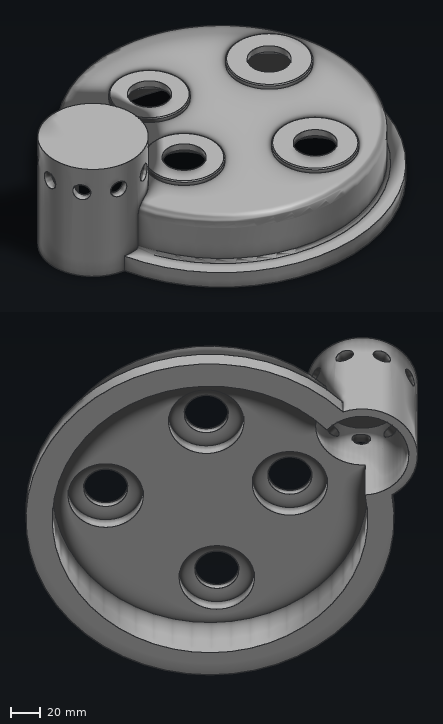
import cadquery as cq

flange_diameter = 253.8
flange_height = 12.5
body_diameter = 227.8
body_top = 50.3
wall = 5.2
roof_thickness = 11.5
shoulder_radius = 9.3
root_radius = 2.5

opening_diameter = 30.3
counterbore_diameter = 52.0
lip_thickness = 5.2
ring_height = 3.5
ring_bevel = 0.8
back_ring_diameter = 60.5
back_ring_x = 50.8
back_ring_y = 51.0
front_ring_diameter = 56.3
front_ring_x = 38.2
front_ring_y = -40.0

tube_diameter = 76.2
tube_bore = 64.2
tube_height = 92.0
tube_overall_y = 273.2
tube_x = 44.8
tube_y = (flange_diameter + tube_diameter) / 2 - tube_overall_y
tube_wall = (tube_diameter - tube_bore) / 2
vent_diameter = 12.5
vent_height = 71.8
vent_count = 9
first_vent_angle = 90.0

ring_top = body_top + ring_height
rings = [
    (side * x, y, diameter)
    for x, y, diameter in (
        (back_ring_x, back_ring_y, back_ring_diameter),
        (front_ring_x, front_ring_y, front_ring_diameter),
    )
    for side in (-1, 1)
]


def cylinder(diameter, bottom, top, x=0, y=0):
    """Return an upright cylinder between two heights."""
    base = cq.Workplane("XY", origin=(x, y, bottom))
    return base.circle(diameter / 2).extrude(top - bottom)


def make_pan():
    """Solid outside of the pan, rounded at the shoulder and the flange root."""
    body = cylinder(body_diameter, 0, body_top).faces(">Z").edges().fillet(shoulder_radius)
    pan = body.union(cylinder(flange_diameter, 0, flange_height))
    flange_top = cq.selectors.NearestToPointSelector((flange_diameter / 2, 0, flange_height))
    inner_edge = cq.selectors.RadiusNthSelector(0)
    return pan.faces(flange_top).edges(inner_edge).fillet(root_radius)


def make_ring(x, y, diameter):
    """Raised ring with a bevelled upper edge."""
    return cylinder(diameter, body_top - roof_thickness, ring_top, x, y).faces(">Z").chamfer(ring_bevel)


def cut_opening(part, x, y):
    """Opening through the roof, widened below its thin upper lip."""
    part = part.cut(cylinder(opening_diameter, 0, ring_top, x, y))
    return part.cut(cylinder(counterbore_diameter, 0, ring_top - lip_thickness, x, y))


def make_vent(angle):
    """Radial cutter that reaches from the tube axis out through its wall."""
    cutter = cq.Workplane("YZ").circle(vent_diameter / 2).extrude(tube_diameter)
    return cutter.rotate((0, 0, 0), (0, 0, 1), angle).translate((tube_x, tube_y, vent_height))


result = make_pan()
for x, y, diameter in rings:
    result = result.union(make_ring(x, y, diameter))
for x, y, _ in rings:
    result = cut_opening(result, x, y)

result = result.union(cylinder(tube_diameter, 0, tube_height, tube_x, tube_y))
result = result.cut(cylinder(body_diameter - 2 * wall, 0, body_top - roof_thickness))
result = result.cut(cylinder(tube_bore, 0, tube_height - tube_wall, tube_x, tube_y))
for index in range(vent_count):
    result = result.cut(make_vent(first_vent_angle + index * 360 / vent_count))